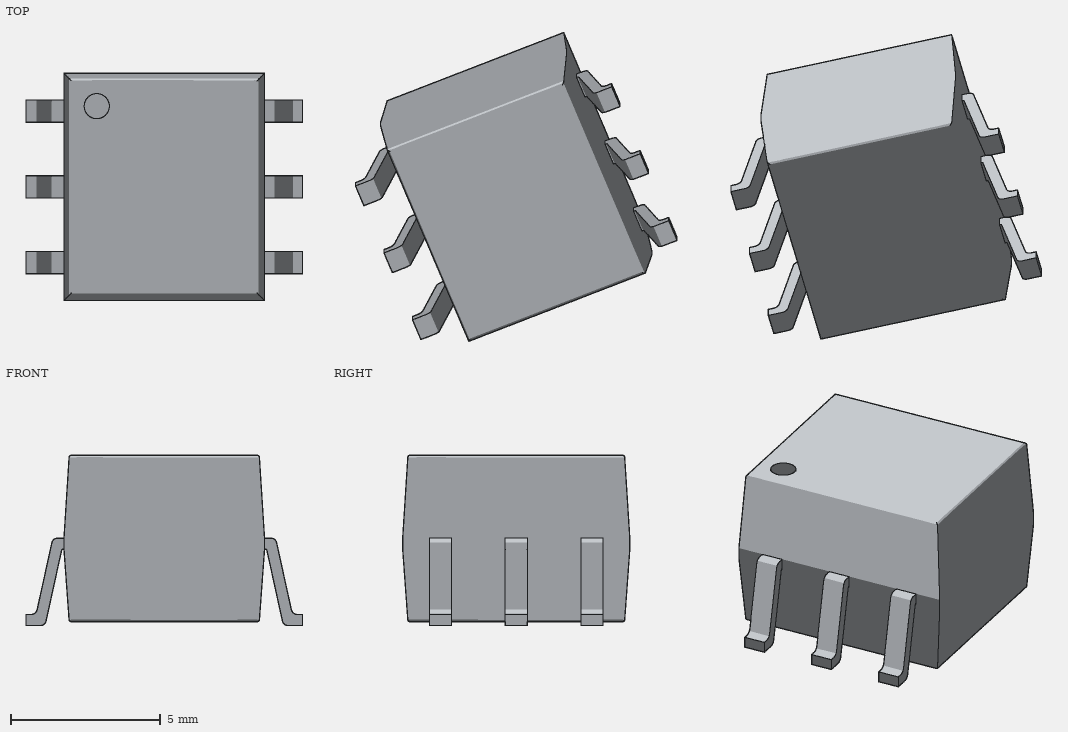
import cadquery as cq
import math

lead_span = 9.27
package_height = 5.72

band_length = 6.73
band_width = 7.62
band_top = 2.94
standoff = 0.13
draft_inset = 0.18
edge_radius = 0.09

mark_diameter = 0.84
mark_depth = 0.6
mark_x = -2.26
mark_y = 2.71

lead_thickness = 0.38
lead_width = 0.75
lead_pitch = 2.54
leads_per_side = 3
shoulder_length = 0.37
lead_slope = 12.4
bend_radius = 0.2
inner_shoulder_radius = 0.04

band_bottom = band_top - lead_thickness


def tapered_half(parting_z, end_z):
    """Half of the housing, leaning in from the band to its rounded end face."""
    half = (
        cq.Workplane("XY", origin=(0, 0, parting_z))
        .rect(band_length, band_width)
        .workplane(offset=end_z - parting_z)
        .rect(band_length - 2 * draft_inset, band_width - 2 * draft_inset)
        .loft(ruled=True)
    )
    end_face = ">Z" if end_z > parting_z else "<Z"
    return half.faces(end_face).edges().fillet(edge_radius)


def make_housing():
    """Moulded body: a straight band between two tapered halves, with the pin-one mark."""
    band = (
        cq.Workplane("XY", origin=(0, 0, band_bottom))
        .rect(band_length, band_width)
        .extrude(lead_thickness)
    )
    body = (
        band
        .union(tapered_half(band_top, package_height), clean=False)
        .union(tapered_half(band_bottom, standoff), clean=False)
    )
    mark = (
        cq.Workplane("XY", origin=(mark_x, mark_y, package_height - mark_depth))
        .circle(mark_diameter / 2)
        .extrude(mark_depth)
    )
    return body.cut(mark)


def make_lead(side, y_center):
    """Gull-wing lead that butts against the band; side is -1 or +1 along X."""
    root_x = band_length / 2
    tip_x = lead_span / 2
    slope = math.tan(math.radians(lead_slope))
    leg_thickness_x = lead_thickness / math.cos(math.radians(lead_slope))

    def outer_x(z):
        return root_x + shoulder_length + (band_top - z) * slope

    def inner_x(z):
        return outer_x(z) - leg_thickness_x

    outer_shoulder = (outer_x(band_top), band_top)
    inner_shoulder = (inner_x(band_bottom), band_bottom)
    ankle = (outer_x(lead_thickness), lead_thickness)
    heel = (inner_x(0), 0)
    outline = [
        (root_x, band_top),
        outer_shoulder,
        ankle,
        (tip_x, lead_thickness),
        (tip_x, 0),
        heel,
        inner_shoulder,
        (root_x, band_bottom),
    ]
    lead = (
        cq.Workplane("XZ", origin=(0, y_center + lead_width / 2, 0))
        .polyline([(side * x, z) for x, z in outline])
        .close()
        .extrude(lead_width)
    )

    def round_bend(solid, corner, radius):
        x, z = corner
        nearest = cq.selectors.NearestToPointSelector((side * x, y_center, z))
        return solid.edges("|Y").edges(nearest).fillet(radius)

    for corner in (outer_shoulder, ankle, heel):
        lead = round_bend(lead, corner, bend_radius)
    return round_bend(lead, inner_shoulder, inner_shoulder_radius)


housing = make_housing()

leads = []
for side in (-1, 1):
    for index in range(leads_per_side):
        y_center = (index - (leads_per_side - 1) / 2) * lead_pitch
        leads.append(make_lead(side, y_center).val())

result = cq.Compound.makeCompound([housing.val(), *leads])